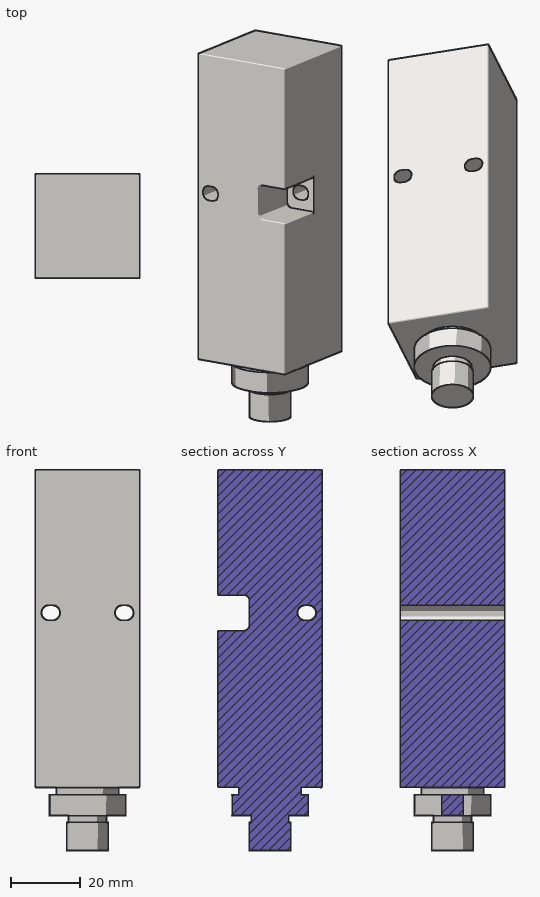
import cadquery as cq

TOTAL_HEIGHT = 109.0
BODY_WIDTH = 30.0
EDGE_RADIUS = 0.5

COLLAR_DIAMETER = 18.0
COLLAR_HEIGHT = 2.0
NUT_DIAMETER = 21.9
NUT_HEIGHT = 6.0
NECK_DIAMETER = 11.0
NECK_HEIGHT = 2.0
PLUG_DIAMETER = 12.0
PLUG_HEIGHT = 8.1

FEATURE_HEIGHT = TOTAL_HEIGHT - 41.0
NOTCH_HEIGHT = 10.0
NOTCH_DEPTH = 9.0
NOTCH_FILLET = 1.5
SLOT_SPACING = 21.0
SLOT_LENGTH = 5.2
SLOT_WIDTH = 4.3

CONNECTOR_HEIGHT = COLLAR_HEIGHT + NUT_HEIGHT + NECK_HEIGHT + PLUG_HEIGHT
BODY_HEIGHT = TOTAL_HEIGHT - CONNECTOR_HEIGHT
HALF_WIDTH = BODY_WIDTH / 2


def make_bar():
    """Plain square bar standing on the connector."""
    bar = cq.Workplane("XY", origin=(0, 0, CONNECTOR_HEIGHT))
    return bar.rect(BODY_WIDTH, BODY_WIDTH).extrude(BODY_HEIGHT)


def make_notch():
    """Corner cutter on the -X, +Y side with rounded edges along its floor."""
    cutter = cq.Workplane("XY").box(
        NOTCH_DEPTH, HALF_WIDTH, NOTCH_HEIGHT, centered=(False, False, True)
    )
    cutter = cutter.edges("|Y and >X").fillet(NOTCH_FILLET)
    return cutter.translate((-HALF_WIDTH, 0, FEATURE_HEIGHT))


def round_outer_edges(bar):
    """Round every edge of the bar's outer faces except the notch's sharp side wall."""
    outer_edges = bar.faces("<X or >X or <Y or >Y or <Z or >Z").edges()
    side_wall_edge = bar.edges(cq.NearestToPointSelector((-HALF_WIDTH, 0, FEATURE_HEIGHT)))
    rounded = [edge for edge in outer_edges.vals() if not edge.isSame(side_wall_edge.val())]
    return bar.newObject(rounded).fillet(EDGE_RADIUS)


def make_slots():
    """Pair of horizontal slots running right through along Y."""
    return (
        cq.Workplane("XZ", origin=(0, 0, FEATURE_HEIGHT))
        .pushPoints([(-SLOT_SPACING / 2, 0), (SLOT_SPACING / 2, 0)])
        .slot2D(SLOT_LENGTH, SLOT_WIDTH)
        .extrude(HALF_WIDTH, both=True)
    )


def add_connector(solid):
    """Stack the round connector sections under the body."""
    sections = [
        (COLLAR_DIAMETER, COLLAR_HEIGHT),
        (NUT_DIAMETER, NUT_HEIGHT),
        (NECK_DIAMETER, NECK_HEIGHT),
        (PLUG_DIAMETER, PLUG_HEIGHT),
    ]
    section_top = CONNECTOR_HEIGHT
    for diameter, height in sections:
        section_top -= height
        section = cq.Workplane("XY", origin=(0, 0, section_top)).circle(diameter / 2).extrude(height)
        solid = solid.union(section)
    return solid


result = add_connector(round_outer_edges(make_bar().cut(make_notch())).cut(make_slots()))